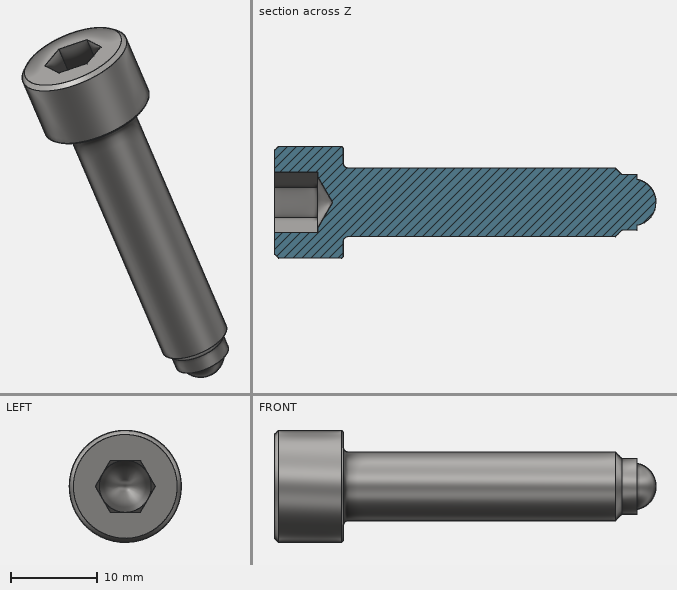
import cadquery as cq
import math

total_length = 44.2

head_radius = 6.5
head_length = 8.0
head_front_chamfer = 0.5
head_back_chamfer = 0.2

shank_diameter = 8.0
shank_radius = shank_diameter / 2
neck_fillet = 0.55
pilot_diameter = 6.5
pilot_radius = pilot_diameter / 2
pilot_end = 42.0
pilot_length = 2.5

ball_radius = 2.75

socket_across_flats = 6.0
socket_depth = 5.0
drill_point_angle = 120.0


def make_body():
    """Revolve the head, shank, pilot and ball tip about the X axis."""
    shank_end = pilot_end - pilot_length
    pilot_step = shank_radius - pilot_radius
    arc_inset = neck_fillet * (1 - math.sqrt(0.5))
    ball_center = total_length - ball_radius
    ball_rim_radius = math.sqrt(ball_radius**2 - (pilot_end - ball_center) ** 2)
    ball_mid_angle = math.atan2(ball_rim_radius, pilot_end - ball_center) / 2
    profile = (
        cq.Workplane("XY")
        .lineTo(0, head_radius - head_front_chamfer)
        .lineTo(head_front_chamfer, head_radius)
        .lineTo(head_length - head_back_chamfer, head_radius)
        .lineTo(head_length, head_radius - head_back_chamfer)
        .lineTo(head_length, shank_radius + neck_fillet)
        .threePointArc(
            (head_length + arc_inset, shank_radius + arc_inset),
            (head_length + neck_fillet, shank_radius),
        )
        .lineTo(shank_end, shank_radius)
        .lineTo(shank_end + pilot_step, pilot_radius)
        .lineTo(pilot_end, pilot_radius)
        .lineTo(pilot_end, ball_rim_radius)
        .threePointArc(
            (ball_center + ball_radius * math.cos(ball_mid_angle), ball_radius * math.sin(ball_mid_angle)),
            (total_length, 0),
        )
        .close()
    )
    return profile.revolve(360, (0, 0, 0), (1, 0, 0))


def make_socket():
    """Hexagonal prism with corners on the Y axis, ending in a cone."""
    across_corners = socket_across_flats / math.cos(math.radians(30))
    cone_radius = socket_across_flats / 2
    cone_depth = cone_radius / math.tan(math.radians(drill_point_angle / 2))
    prism = cq.Workplane("YZ").polygon(6, across_corners).extrude(socket_depth)
    cone = (
        cq.Workplane("XY")
        .moveTo(socket_depth, 0)
        .lineTo(socket_depth, cone_radius)
        .lineTo(socket_depth + cone_depth, 0)
        .close()
        .revolve(360, (0, 0, 0), (1, 0, 0))
    )
    return prism.union(cone)


result = make_body().cut(make_socket())